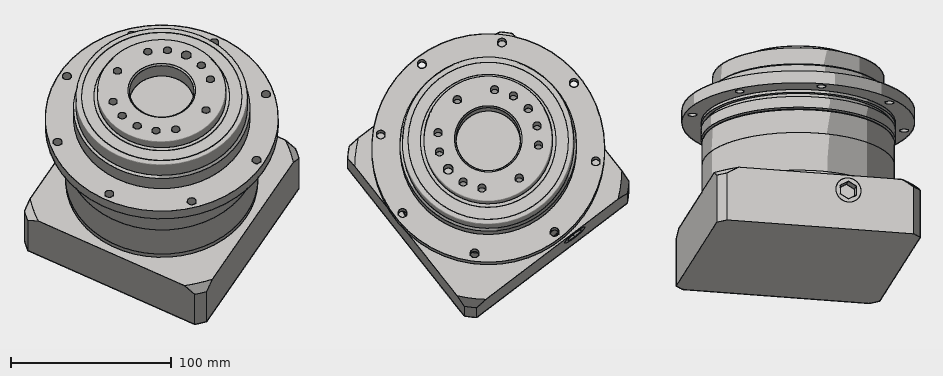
import cadquery as cq
import math

adapter_height = 35.5
spigot_top = 38.9
stage_top = 63.8
case_top = 78.9
joint_height = 79.6
pilot_bottom = 80.3
ring_groove_bottom = 87.5
ring_groove_top = 90.2
flange_bottom = 92.1
flange_top = 100.0
collar_edge = 110.5
collar_top = 111.6
nose_top = 122.5
total_height = 128.6

case_radius = 59.9
joint_radius = 59.2
pilot_radius = 60.5
ring_groove_radius = 58.3
flange_radius = 72.5
collar_radius = 55.0
nose_radius = 53.4
seal_outer_radius = 49.9
seal_inner_radius = 42.2
seal_recess = 0.3
output_radius = 40.0
bore_radius = 20.0
bore_depth = 11.6
bore_chamfer = 1.0
edge_fillet = 0.9

adapter_side = 129.6
corner_radius = 87.9
cone_top_radius = 83.1
cone_height = 4.4

flange_hole_count = 8
flange_hole_circle_radius = 67.4
flange_hole_diameter = 5.5
output_hole_circle_radius = 31.5
output_hole_depth = 11.6
tapped_hole_diameter = 5.1
tapped_hole_angles = [0, 45, 67.5, 112.5, 135, 180, 225, 247.5, 270, 292.5, 315]
drill_tip_angle = 118
dowel_hole_diameter = 6.1
dowel_hole_angle = 90

plug_diameter = 16.0
plug_length = 11.6
plug_y = -17.8
plug_z = 25.8
hex_across_flats = 10.2
hex_depth = 5.8


def cylinder(radius, bottom, top):
    return cq.Workplane("XY").workplane(offset=bottom).circle(radius).extrude(top - bottom)


def revolve_about_z(profile):
    """Solid of revolution about Z from (radius, height) points."""
    return cq.Workplane("XZ").polyline(profile).close().revolve(360, (0, 0, 0), (0, 1, 0))


def plug_plane():
    """Workplane on the -X face of the adapter, its normal pointing into the part."""
    return cq.Workplane(cq.Plane((-adapter_side / 2, plug_y, plug_z), (0, 1, 0), (1, 0, 0)))


def make_plug_blank():
    return plug_plane().circle(plug_diameter / 2).extrude(plug_length)


def make_adapter():
    square = cq.Workplane("XY").rect(adapter_side, adapter_side).extrude(adapter_height)
    turned_envelope = revolve_about_z([
        (0, 0),
        (corner_radius, 0),
        (corner_radius, adapter_height - cone_height),
        (cone_top_radius, adapter_height),
        (0, adapter_height),
    ])
    spigot = cylinder(case_radius, adapter_height, spigot_top)
    return square.intersect(turned_envelope).union(spigot).cut(make_plug_blank())


def make_plug():
    hex_across_corners = hex_across_flats / math.cos(math.pi / 6)
    corner_up = (0, 0, 90)
    socket = plug_plane().transformed(rotate=corner_up).polygon(6, hex_across_corners).extrude(hex_depth)
    return make_plug_blank().cut(socket)


def make_stage():
    return cylinder(case_radius, spigot_top, stage_top)


def make_output_blank():
    """Turned shape of the output unit, from the stage up to the output face."""
    blank = revolve_about_z([
        (0, stage_top),
        (case_radius, stage_top),
        (case_radius, case_top),
        (joint_radius, joint_height),
        (pilot_radius, pilot_bottom),
        (pilot_radius, ring_groove_bottom),
        (ring_groove_radius, ring_groove_bottom),
        (ring_groove_radius, ring_groove_top),
        (pilot_radius, ring_groove_top),
        (pilot_radius, flange_bottom),
        (flange_radius, flange_bottom),
        (flange_radius, flange_top),
        (collar_radius, flange_top),
        (collar_radius, collar_edge),
        (nose_radius, collar_top),
        (nose_radius, nose_top),
        (0, nose_top),
    ])
    blank = blank.faces(">Z").edges().fillet(edge_fillet)
    output = cylinder(output_radius, nose_top, total_height).faces(">Z").edges().fillet(edge_fillet)
    return blank.union(output)


def make_seal_recess():
    bottom = nose_top - seal_recess
    return cylinder(seal_outer_radius, bottom, nose_top).cut(cylinder(seal_inner_radius, bottom, nose_top))


def make_bore():
    bore_rim_radius = bore_radius + bore_chamfer
    return revolve_about_z([
        (0, total_height - bore_depth),
        (bore_radius, total_height - bore_depth),
        (bore_radius, total_height - bore_chamfer),
        (bore_rim_radius, total_height),
        (0, total_height),
    ])


def make_flange_holes():
    return (
        cq.Workplane("XY")
        .workplane(offset=flange_bottom)
        .polarArray(flange_hole_circle_radius, 0, 360, flange_hole_count)
        .circle(flange_hole_diameter / 2)
        .extrude(flange_top - flange_bottom)
    )


def at_output_hole(cutter, angle):
    """Move a cutter from the Z axis to the hole circle of the output face."""
    return cutter.translate((output_hole_circle_radius, 0, 0)).rotate((0, 0, 0), (0, 0, 1), angle)


def make_tapped_hole():
    radius = tapped_hole_diameter / 2
    floor = total_height - output_hole_depth
    tip_height = radius / math.tan(math.radians(drill_tip_angle / 2))
    return revolve_about_z([
        (0, total_height),
        (radius, total_height),
        (radius, floor),
        (0, floor - tip_height),
    ])


def make_output_unit():
    unit = make_output_blank().cut(make_seal_recess()).cut(make_bore()).cut(make_flange_holes())
    tapped_hole = make_tapped_hole()
    for angle in tapped_hole_angles:
        unit = unit.cut(at_output_hole(tapped_hole, angle))
    dowel_hole = cylinder(dowel_hole_diameter / 2, total_height - output_hole_depth, total_height)
    return unit.cut(at_output_hole(dowel_hole, dowel_hole_angle))


adapter = make_adapter()
plug = make_plug()
stage = make_stage()
output_unit = make_output_unit()

result = cq.Compound.makeCompound([adapter.val(), plug.val(), stage.val(), output_unit.val()])